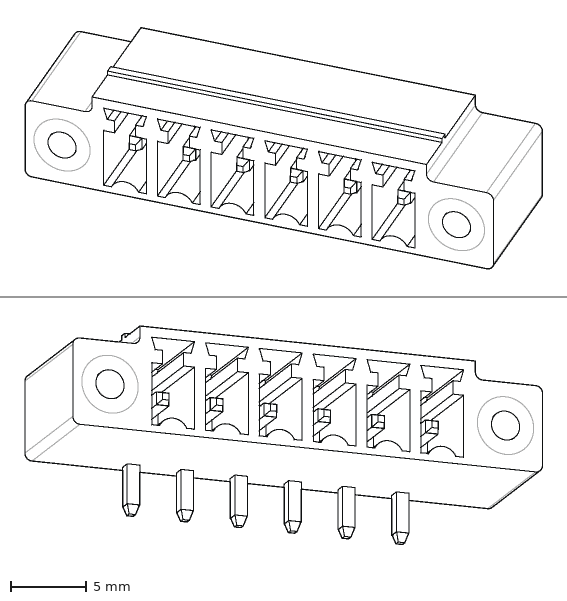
import cadquery as cq


length = 33.25
depth = 9.2
flange_height = 6.0
tower_length = 23.75
edge_radius = 0.5
total_height = 10.95
leg_reach = 3.4
ridge_height = 0.3
tower_height = total_height - leg_reach - ridge_height
front_y = -depth / 2
back_y = depth / 2

ridge_width = 0.6
ridge_setback = 2.93

pin_count = 6
row_span = 19.05
pitch = row_span / (pin_count - 1)
pin_places = [-row_span / 2 + i * pitch for i in range(pin_count)]

cavity_depth = 6.98
cavity_width = 3.03
floor_z = 0.5
shoulder_z = 4.8
neck_top_z = 5.72
cavity_top_z = 6.55
neck_width = 1.5
keyway_width = 2.53
floor_rib_width = 1.93
floor_rib_height = 0.6

pin_size = 0.9
tip_base_size = 0.85
tip_size = 0.45
tip_length = 0.63
contact_z = 3.0
contact_setback = 1.4
leg_setback = 1.15

insert_spacing = 28.0
insert_diameter = 4.0
insert_hole_diameter = 2.0
insert_depth = 6.65


def make_housing():
    """Flanged block with a raised tower, rounded along its depth."""
    half_length = length / 2
    half_tower = tower_length / 2
    outline = [
        (-half_length, 0),
        (half_length, 0),
        (half_length, flange_height),
        (half_tower, flange_height),
        (half_tower, tower_height),
        (-half_tower, tower_height),
        (-half_tower, flange_height),
        (-half_length, flange_height),
    ]
    block = cq.Workplane("XZ", origin=(0, back_y, 0)).polyline(outline).close().extrude(depth)
    block = block.edges("|Y and (<X or >X)").fillet(edge_radius)
    inner_corners = cq.selectors.BoxSelector(
        (-half_tower - edge_radius, front_y - edge_radius, flange_height - edge_radius),
        (half_tower + edge_radius, back_y + edge_radius, flange_height + edge_radius),
    )
    return block.edges("|Y").edges(inner_corners).fillet(edge_radius)


def make_ridge():
    """Thin strip standing on the tower top."""
    return cq.Workplane(origin=(0, front_y + ridge_setback, tower_height)).box(
        tower_length, ridge_width, ridge_height, centered=(True, False, False)
    )


def make_cavity(x):
    """Contact chamber with a dovetail keyway above and a round rib along its floor."""
    half_width = cavity_width / 2
    half_neck = neck_width / 2
    half_keyway = keyway_width / 2
    half_rib = floor_rib_width / 2
    return (
        cq.Workplane("XZ", origin=(x, front_y + cavity_depth, 0))
        .moveTo(-half_width, floor_z)
        .lineTo(-half_rib, floor_z)
        .threePointArc((0, floor_z + floor_rib_height), (half_rib, floor_z))
        .lineTo(half_width, floor_z)
        .lineTo(half_width, shoulder_z)
        .lineTo(half_neck, shoulder_z)
        .lineTo(half_neck, neck_top_z)
        .lineTo(half_keyway, neck_top_z)
        .lineTo(half_width, cavity_top_z)
        .lineTo(-half_width, cavity_top_z)
        .lineTo(-half_keyway, neck_top_z)
        .lineTo(-half_neck, neck_top_z)
        .lineTo(-half_neck, shoulder_z)
        .lineTo(-half_width, shoulder_z)
        .close()
        .extrude(cavity_depth)
    )


def make_bar(start, direction, bar_length):
    """Square bar from start along direction, with a slightly stepped-in tapered tip."""
    plane = cq.Plane(origin=start, xDir=(1, 0, 0), normal=direction)
    straight_length = bar_length - tip_length
    shank = cq.Workplane(plane).rect(pin_size, pin_size).extrude(straight_length)
    tip = (
        cq.Workplane(plane)
        .workplane(offset=straight_length)
        .rect(tip_base_size, tip_base_size)
        .workplane(offset=tip_length)
        .rect(tip_size, tip_size)
        .loft(ruled=True)
    )
    return shank.union(tip)


def make_pin(x):
    """L-shaped pin: a contact toward the mating face and a leg down through the underside."""
    half_pin = pin_size / 2
    leg_y = back_y - leg_setback
    heel_y = leg_y + half_pin
    heel_z = contact_z + half_pin
    contact = make_bar((x, heel_y, contact_z), (0, -1, 0), heel_y - front_y - contact_setback)
    leg = make_bar((x, leg_y, heel_z), (0, 0, -1), heel_z + leg_reach)
    return contact.union(leg)


def make_cylinder_pair(diameter):
    """Blind cylinders on the two screw axes, running in from the mating face."""
    return (
        cq.Workplane("XZ", origin=(0, front_y + insert_depth, contact_z))
        .pushPoints([(-insert_spacing / 2, 0), (insert_spacing / 2, 0)])
        .circle(diameter / 2)
        .extrude(insert_depth)
    )


result = make_housing().union(make_ridge())
for pin_x in pin_places:
    result = result.cut(make_cavity(pin_x)).union(make_pin(pin_x))

insert_bores = make_cylinder_pair(insert_diameter)
inserts = insert_bores.cut(make_cylinder_pair(insert_hole_diameter))
result = result.cut(insert_bores).union(inserts, clean=False)